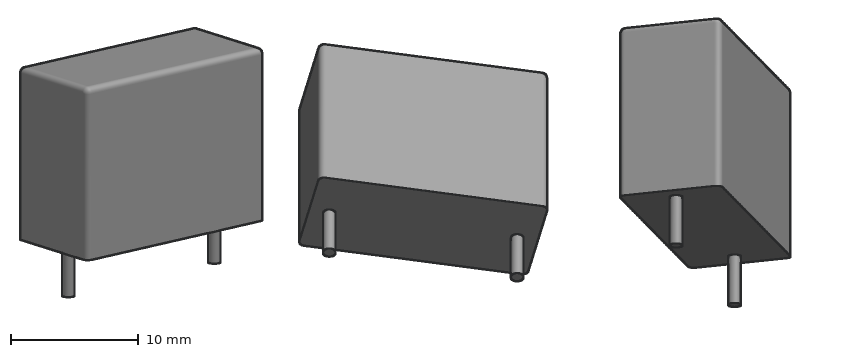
import cadquery as cq

body_width = 8.4
body_length = 18.3
overall_height = 18.0
edge_radius = 0.5

pin_diameter = 1.0
pin_length = 4.0
pin_spacing = 15.0

body_height = overall_height - pin_length


def make_body():
    """Box with rounded upright and top edges and a sharp bottom rim."""
    box = cq.Workplane("XY").box(
        body_width, body_length, body_height, centered=(True, True, False)
    )
    return box.edges("|Z or >Z").fillet(edge_radius)


def make_pins():
    """Pins spaced along Y, hanging from the underside of the body."""
    return (
        cq.Workplane("XY")
        .rarray(0.18, pin_spacing, 1, 2)
        .circle(pin_diameter / 2)
        .extrude(-pin_length)
    )


result = make_body().union(make_pins())